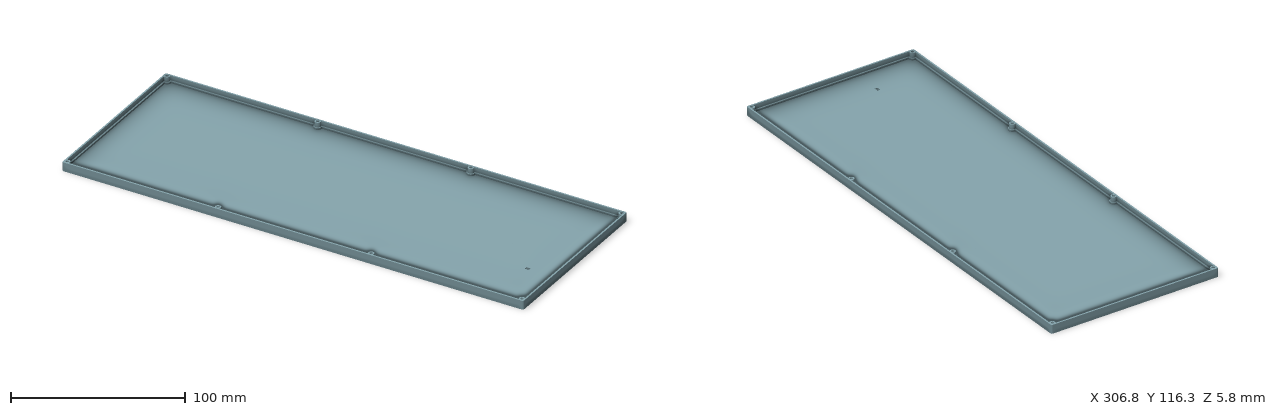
import cadquery as cq
length = 306.8
width = 116.3
height = 5.8
corner_radius = 1.0

floor_thickness = 1.5
ledge_height = 2.8
lip_thickness = 1.0
wall_thickness = 2.0

hole_inset = 2.2
middle_post_x = 51.0
upper_post_radius = 1.8
lower_post_radius = 2.55
screw_hole_diameter = 2.0
screw_head_diameter = 2.4
screw_head_depth = 1.0

pocket_x = 133.0
pocket_y = -19.0
pocket_length = 2.8
pocket_width = 2.0
pocket_depth = 0.5
pinhole_diameter = 1.0

end_post_x = length / 2 - hole_inset
post_y = width / 2 - hole_inset
post_points = [
    (x, y)
    for x in (-end_post_x, -middle_post_x, middle_post_x, end_post_x)
    for y in (-post_y, post_y)
]


def cavity(bottom_z, wall):
    """Rectangular space from bottom_z up to the rim, inside the given wall thickness."""
    return (
        cq.Workplane("XY", origin=(0, 0, bottom_z))
        .rect(length - 2 * wall, width - 2 * wall)
        .extrude(height - bottom_z)
    )


def cylinders(points, radius, top_z):
    """Upright cylinders standing on the bottom plane."""
    return cq.Workplane("XY").pushPoints(points).circle(radius).extrude(top_z)


outer_block = (
    cq.Workplane("XY")
    .box(length, width, height, centered=(True, True, False))
    .edges("|Z")
    .fillet(corner_radius)
)
tray = outer_block.cut(cavity(floor_thickness, wall_thickness)).cut(cavity(ledge_height, lip_thickness))

lower_posts = cylinders(post_points, lower_post_radius, ledge_height).intersect(outer_block)
upper_posts = cylinders(post_points, upper_post_radius, height).intersect(outer_block)
tray = tray.union(lower_posts).union(upper_posts)

tray = tray.cut(cylinders(post_points, screw_hole_diameter / 2, height))
tray = tray.cut(cylinders(post_points, screw_head_diameter / 2, screw_head_depth))

pocket = (
    cq.Workplane("XY", origin=(pocket_x, pocket_y, floor_thickness - pocket_depth))
    .rect(pocket_length, pocket_width)
    .extrude(pocket_depth)
)
pinhole = cylinders([(pocket_x, pocket_y)], pinhole_diameter / 2, floor_thickness)

result = tray.cut(pocket).cut(pinhole)